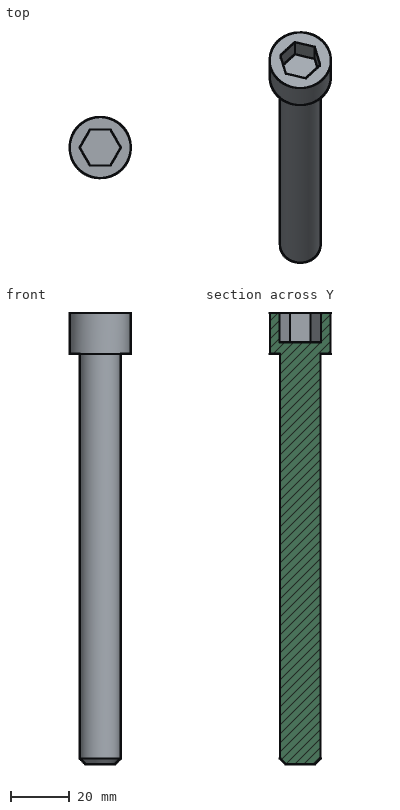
import cadquery as cq
import math

total_length = 154.0
head_diameter = 21.0
shank_diameter = 14.0
head_height = shank_diameter
tip_chamfer = 2.0
hex_across_flats = 12.2
socket_depth = 10.0


def screw_body():
    """Revolve the half profile of head, shank and chamfered tip."""
    head_radius = head_diameter / 2
    shank_radius = shank_diameter / 2
    head_underside = total_length - head_height
    return (
        cq.Workplane("XZ")
        .lineTo(shank_radius - tip_chamfer, 0)
        .lineTo(shank_radius, tip_chamfer)
        .lineTo(shank_radius, head_underside)
        .lineTo(head_radius, head_underside)
        .lineTo(head_radius, total_length)
        .lineTo(0, total_length)
        .close()
        .revolve(360, (0, 0, 0), (0, 1, 0))
    )


def hex_socket():
    """Hexagonal prism with two corners on the X axis, sunk from the head top."""
    across_corners = hex_across_flats / math.cos(math.pi / 6)
    return (
        cq.Workplane("XY")
        .workplane(offset=total_length)
        .polygon(6, across_corners)
        .extrude(-socket_depth)
    )


result = screw_body().cut(hex_socket())